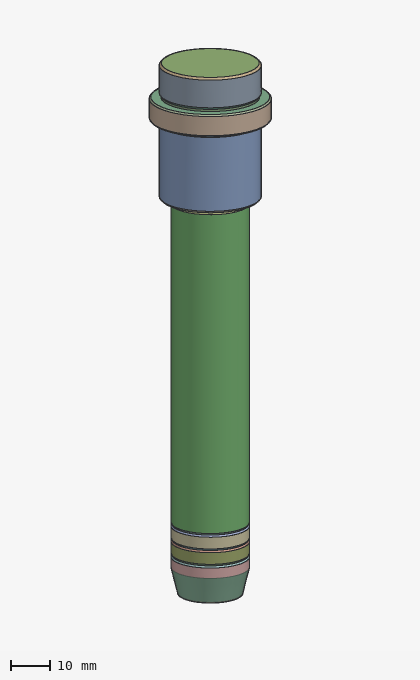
import cadquery as cq

total_length = 141.0
flange_diameter = 31.0
head_diameter = 26.0
shaft_diameter = 20.0
tip_diameter = 16.5

flange_top_depth = 9.0
flange_bottom_depth = 15.0
body_end_depth = 36.0

edge_chamfer = 0.5
flange_chamfer = 0.4
tip_fillet = 0.4

undercut_depth = 0.4
head_undercut_width = 1.1
flange_undercut_width = 0.8
shaft_undercut_width = 1.3

taper_height = 7.2
first_groove_height = 10.5
groove_pitch = 4.1
groove_count = 3
groove_width = 1.0
groove_depth = 0.3


def cylinder(diameter, bottom, top):
    """Cylinder on the Z axis between two heights."""
    return cq.Workplane("XY").workplane(offset=bottom).circle(diameter / 2).extrude(top - bottom)


def cut_vee_groove(body, diameter, center, width, depth):
    """Turn a V-shaped groove into a cylindrical surface."""
    radius = diameter / 2
    cutter = (
        cq.Workplane("XZ")
        .moveTo(radius, center - width / 2)
        .lineTo(radius - depth, center)
        .lineTo(radius, center + width / 2)
        .close()
        .revolve(360, (0, 0, 0), (0, 1, 0))
    )
    return body.cut(cutter)


def cut_undercut(body, diameter, shoulder, far_edge):
    """Turn a relief that is straight at the shoulder and slopes out to the far edge."""
    radius = diameter / 2
    floor_radius = radius - undercut_depth
    slope_start = (shoulder + far_edge) / 2
    cutter = (
        cq.Workplane("XZ")
        .moveTo(radius, shoulder)
        .lineTo(floor_radius, shoulder)
        .lineTo(floor_radius, slope_start)
        .lineTo(radius, far_edge)
        .close()
        .revolve(360, (0, 0, 0), (0, 1, 0))
    )
    return body.cut(cutter)


flange_top = total_length - flange_top_depth
flange_bottom = total_length - flange_bottom_depth
body_end = total_length - body_end_depth

tip = (
    cq.Workplane("XY")
    .circle(tip_diameter / 2)
    .workplane(offset=taper_height)
    .circle(shaft_diameter / 2)
    .loft(ruled=True)
    .faces("<Z").edges().fillet(tip_fillet)
)
shaft = cylinder(shaft_diameter, taper_height, body_end)
for index in range(groove_count):
    groove_center = first_groove_height + index * groove_pitch
    shaft = cut_vee_groove(shaft, shaft_diameter, groove_center, groove_width, groove_depth)
shaft = cut_undercut(shaft, shaft_diameter, body_end, body_end - shaft_undercut_width)

head = cylinder(head_diameter, body_end, total_length).edges().chamfer(edge_chamfer)
head = cut_undercut(head, head_diameter, flange_top, flange_top + head_undercut_width)
head = cut_undercut(head, head_diameter, flange_bottom, flange_bottom - flange_undercut_width)

flange = cylinder(flange_diameter, flange_bottom, flange_top).edges().chamfer(flange_chamfer)

result = tip.union(shaft).union(head).union(flange)